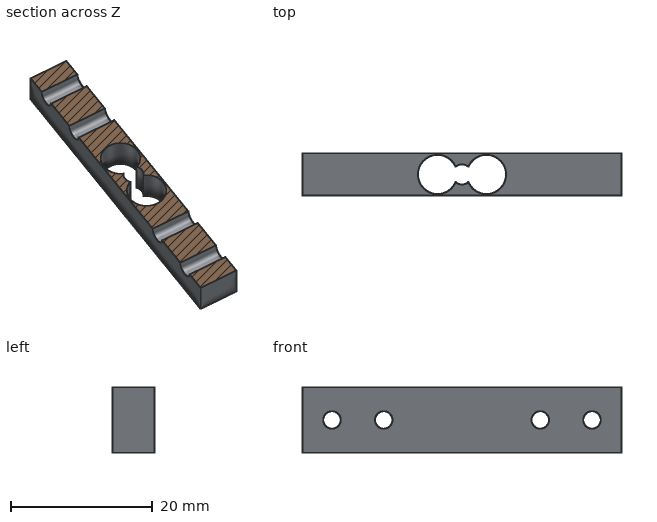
import cadquery as cq

length = 45.15
width = 6.0
height = 9.3

mount_diameter = 2.45
mount_pair_spacing = 7.3
mount_pair_centers = (-14.7, 14.7)

bore_diameter = 5.5
bore_spacing = 6.9
link_diameter = 2.8


def make_bar():
    return cq.Workplane("XY").box(length, width, height)


def make_mounting_holes():
    offsets = (-mount_pair_spacing / 2, mount_pair_spacing / 2)
    points = [(center + offset, 0) for center in mount_pair_centers for offset in offsets]
    return (
        cq.Workplane("XZ")
        .pushPoints(points)
        .circle(mount_diameter / 2)
        .extrude(width, both=True)
    )


def make_flexure_opening():
    bores = (
        cq.Workplane("XY")
        .pushPoints([(-bore_spacing / 2, 0), (bore_spacing / 2, 0)])
        .circle(bore_diameter / 2)
        .extrude(height, both=True)
    )
    link = cq.Workplane("XY").circle(link_diameter / 2).extrude(height, both=True)
    return bores.union(link)


result = make_bar().cut(make_mounting_holes()).cut(make_flexure_opening())